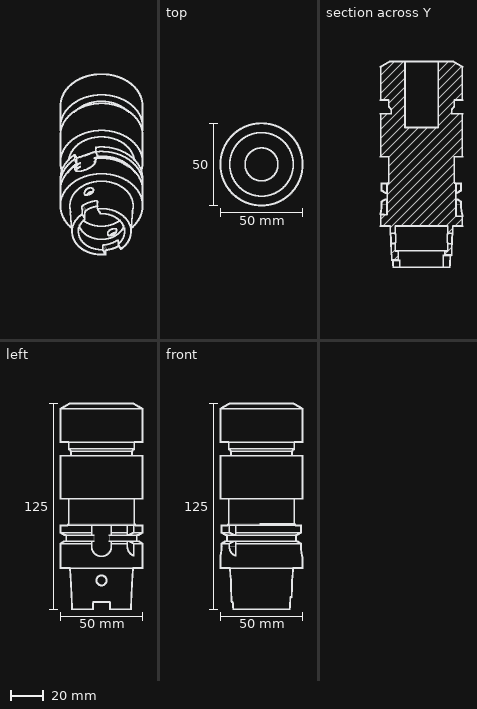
import cadquery as cq
import math


SHANK_LENGTH = 25.0
FLANGE_WIDTH = 26.0
BODY_BOTTOM = 67.0
BODY_TOP = 93.2
UNDERCUT_TOP = 96.0
NUT_BOTTOM = 101.5
TOTAL_LENGTH = 125.0
FLANGE_TOP = SHANK_LENGTH + FLANGE_WIDTH

OUTER_RADIUS = 25.0
SHANK_TOP_RADIUS = 19.2
SHANK_TAPER = 1 / 20
SHANK_END_RADIUS = SHANK_TOP_RADIUS - SHANK_LENGTH * SHANK_TAPER
NECK_RADIUS = 20.0
NECK_FILLET = 1.0
UNDERCUT_RADIUS = 18.6
NECK_CHAMFER = NECK_RADIUS - UNDERCUT_RADIUS

NUT_CHAMFER_HEIGHT = 3.3
NUT_CHAMFER_SLOPE = 30.0
NUT_CHAMFER_WIDTH = NUT_CHAMFER_HEIGHT / math.tan(math.radians(NUT_CHAMFER_SLOPE))
NUT_BORE_RADIUS = 10.0
NUT_BORE_DEPTH = 40.0

GROOVE_CENTRE = 43.3
GROOVE_WIDTH = 3.6
GROOVE_RADIUS = 21.5
GROOVE_FLANK_HEIGHT = 1.5
GROOVE_FLANK_WIDTH = 2.45

SLOT_WIDTH = 12.0
WIDE_SLOT_WIDTH = 14.0
SLOT_ROUND_CENTRE = 38.2
SLOT_FLOOR = 21.0
NOTCH_OFFSET = 15.65

KEYWAY_WIDTH = 10.2
KEYWAY_CORNER_RADIUS = 0.8
SHALLOW_KEYWAY_DEPTH = 4.5
DEEP_KEYWAY_DEPTH = 7.5
SHANK_MOUTH_RADIUS = 14.0
SHANK_MOUTH_DEPTH = 10.0
SHANK_RECESS_RADIUS = 15.85
SHANK_RECESS_TOP = SHANK_LENGTH
CROSS_HOLE_DIAMETER = 6.0
CROSS_HOLE_HEIGHT = 17.6


def turned_body():
    """Solid of revolution with shank, grooved flange, neck, body and nut."""
    groove_bottom = GROOVE_CENTRE - GROOVE_WIDTH / 2
    groove_top = GROOVE_CENTRE + GROOVE_WIDTH / 2
    flank_radius = OUTER_RADIUS - GROOVE_FLANK_WIDTH
    fillet_mid = NECK_FILLET * (1 - math.sqrt(0.5))
    profile = (
        cq.Workplane("XZ")
        .lineTo(SHANK_END_RADIUS, 0)
        .lineTo(SHANK_TOP_RADIUS, SHANK_LENGTH)
        .lineTo(OUTER_RADIUS, SHANK_LENGTH)
        .lineTo(OUTER_RADIUS, groove_bottom - GROOVE_FLANK_HEIGHT)
        .lineTo(flank_radius, groove_bottom)
        .lineTo(GROOVE_RADIUS, groove_bottom)
        .lineTo(GROOVE_RADIUS, groove_top)
        .lineTo(flank_radius, groove_top)
        .lineTo(OUTER_RADIUS, groove_top + GROOVE_FLANK_HEIGHT)
        .lineTo(OUTER_RADIUS, FLANGE_TOP)
        .lineTo(NECK_RADIUS + NECK_FILLET, FLANGE_TOP)
        .threePointArc(
            (NECK_RADIUS + fillet_mid, FLANGE_TOP + fillet_mid),
            (NECK_RADIUS, FLANGE_TOP + NECK_FILLET),
        )
        .lineTo(NECK_RADIUS, BODY_BOTTOM)
        .lineTo(OUTER_RADIUS, BODY_BOTTOM)
        .lineTo(OUTER_RADIUS, BODY_TOP)
        .lineTo(UNDERCUT_RADIUS, BODY_TOP)
        .lineTo(UNDERCUT_RADIUS, UNDERCUT_TOP)
        .lineTo(NECK_RADIUS, UNDERCUT_TOP + NECK_CHAMFER)
        .lineTo(NECK_RADIUS, NUT_BOTTOM)
        .lineTo(OUTER_RADIUS, NUT_BOTTOM)
        .lineTo(OUTER_RADIUS, TOTAL_LENGTH - NUT_CHAMFER_HEIGHT)
        .lineTo(OUTER_RADIUS - NUT_CHAMFER_WIDTH, TOTAL_LENGTH)
        .lineTo(0, TOTAL_LENGTH)
        .close()
    )
    return profile.revolve(360, (0, 0, 0), (0, 1, 0))


def nut_bore():
    return (
        cq.Workplane("XY", origin=(0, 0, TOTAL_LENGTH - NUT_BORE_DEPTH))
        .circle(NUT_BORE_RADIUS)
        .extrude(NUT_BORE_DEPTH)
    )


def shank_bore():
    """Clamping bore: a mouth with a wider recess behind it."""
    mouth = cq.Workplane("XY").circle(SHANK_MOUTH_RADIUS).extrude(SHANK_MOUTH_DEPTH)
    recess = (
        cq.Workplane("XY", origin=(0, 0, SHANK_MOUTH_DEPTH))
        .circle(SHANK_RECESS_RADIUS)
        .extrude(SHANK_RECESS_TOP - SHANK_MOUTH_DEPTH)
    )
    return mouth.union(recess)


def flange_slot(width, floor_x, centre_y):
    """Round-ended slot, open at the flange top, running outward in +X from floor_x."""
    radius = width / 2
    return (
        cq.Workplane("YZ", origin=(floor_x, centre_y, 0))
        .moveTo(-radius, FLANGE_TOP)
        .lineTo(-radius, SLOT_ROUND_CENTRE)
        .threePointArc((0, SLOT_ROUND_CENTRE - radius), (radius, SLOT_ROUND_CENTRE))
        .lineTo(radius, FLANGE_TOP)
        .close()
        .extrude(OUTER_RADIUS)
    )


def half_turn(shape):
    return shape.rotate((0, 0, 0), (0, 0, 1), 180)


def keyway(depth):
    """Drive keyway across the +X wall of the shank end."""
    return (
        cq.Workplane("XY")
        .box(OUTER_RADIUS, KEYWAY_WIDTH, depth, centered=(False, True, False))
        .edges("|X and >Z")
        .fillet(KEYWAY_CORNER_RADIUS)
    )


def cross_hole():
    return (
        cq.Workplane("YZ", origin=(0, 0, CROSS_HOLE_HEIGHT))
        .circle(CROSS_HOLE_DIAMETER / 2)
        .extrude(OUTER_RADIUS, both=True)
    )


drive_slot = flange_slot(SLOT_WIDTH, SLOT_FLOOR, 0)
wide_drive_slot = flange_slot(WIDE_SLOT_WIDTH, SLOT_FLOOR, 0)
corner_notch = half_turn(flange_slot(SLOT_WIDTH, NOTCH_OFFSET, NOTCH_OFFSET + SLOT_WIDTH / 2))

result = (
    turned_body()
    .cut(nut_bore())
    .cut(shank_bore())
    .cut(wide_drive_slot)
    .cut(half_turn(drive_slot))
    .cut(corner_notch)
    .cut(keyway(DEEP_KEYWAY_DEPTH))
    .cut(half_turn(keyway(SHALLOW_KEYWAY_DEPTH)))
    .cut(cross_hole())
)